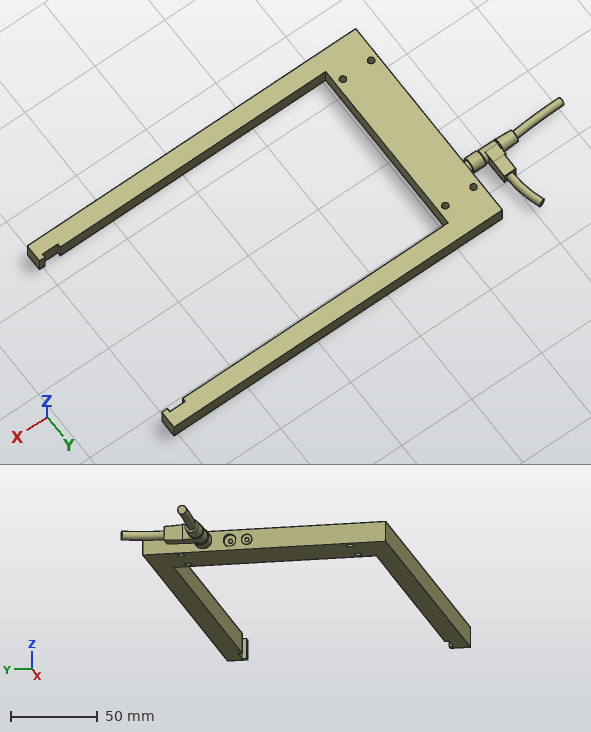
import cadquery as cq
import math


total_length = 305.2
housing_length = 235.0
housing_width = 143.5
thickness = 12.0
arm_width = 12.0
bridge_width = 30.2
housing_left = total_length - housing_length

mount_hole_diameter = 4.3
mount_hole_edge = 5.0
mount_hole_spacing_x = 20.0
mount_hole_spacing_y = 100.0

notch_length = 11.0
notch_depth = 2.5
notch_to_tip = 4.0

adjuster_offset = 15.0
adjuster_diameter = 7.3
adjuster_depth = 2.5
indicator_offset = 25.0
indicator_diameter = 6.0
indicator_depth = 0.5
well_center_diameter = 2.5
well_center_depth = 1.0

axis_y = 107.0
neck_diameter = 7.3
neck_length = 2.7
nut_diameter = 10.0
nut_length = 9.0
nut_chamfer = 0.5
barrel_diameter = 9.2
barrel_length = 11.5
grip_length = 12.0
grip_end_diameter = 8.0
grip_lip_length = 1.0
grip_lip_step = 0.3
nut_right = housing_left - neck_length
nut_left = nut_right - nut_length
barrel_left = nut_left - barrel_length
grip_left = barrel_left - grip_length

elbow_height = barrel_diameter
elbow_base_width = 9.2
elbow_base_reach = 8.0
elbow_top_width = 8.2
elbow_top_reach = 19.0
elbow_end_height = 8.2

cable_diameter = 5.2
straight_cable_drop = 1.8
cable_embed = 1.5
bent_cable_angle = 21.0
bent_cable_rise = 25.0
bent_cable_inset = 4.0


def rod_along_x(x_start, length, start_diameter, end_diameter):
    """Round rod or cone on the connector axis, growing toward +X."""
    profile = [
        (x_start, axis_y),
        (x_start, axis_y + start_diameter / 2),
        (x_start + length, axis_y + end_diameter / 2),
        (x_start + length, axis_y),
    ]
    return cq.Workplane("XY").polyline(profile).close().revolve(360, (0, axis_y), (1, axis_y))


def box_between(x_start, x_end, y_start, y_end, height):
    """Box between two X and two Y positions, centred on Z = 0."""
    return (
        cq.Workplane("XY")
        .box(x_end - x_start, y_end - y_start, height, centered=(False, False, True))
        .translate((x_start, y_start, 0))
    )


def cut_well(body, offset, diameter, depth):
    """Round well in the -X side of the housing with a small hole at its centre."""
    well_y = axis_y - offset
    steps = [(diameter, depth), (well_center_diameter, depth + well_center_depth)]
    for step_diameter, step_depth in steps:
        drill = (
            cq.Workplane("YZ", origin=(housing_left, well_y, 0))
            .circle(step_diameter / 2)
            .extrude(step_depth)
        )
        body = body.cut(drill)
    return body


def make_housing():
    """U-shaped fork with mounting holes, lens notches and two wells."""
    body = box_between(housing_left, total_length, 0, housing_width, thickness)
    opening_left = housing_left + bridge_width
    opening_top = housing_width - arm_width
    body = body.cut(box_between(opening_left, total_length, arm_width, opening_top, thickness))

    notch_right = total_length - notch_to_tip
    notch_left = notch_right - notch_length
    notches = box_between(
        notch_left, notch_right, arm_width - notch_depth, opening_top + notch_depth, thickness
    )
    body = body.cut(notches)

    holes_x = housing_left + mount_hole_edge + mount_hole_spacing_x / 2
    holes = (
        cq.Workplane("XY", origin=(holes_x, housing_width / 2, -thickness / 2))
        .rarray(mount_hole_spacing_x, mount_hole_spacing_y, 2, 2)
        .circle(mount_hole_diameter / 2)
        .extrude(thickness)
    )
    body = body.cut(holes)

    body = cut_well(body, adjuster_offset, adjuster_diameter, adjuster_depth)
    return cut_well(body, indicator_offset, indicator_diameter, indicator_depth)


def make_socket():
    """Nut end of the connector with its neck against the housing."""
    nut = rod_along_x(nut_left, nut_length, nut_diameter, nut_diameter)
    nut = nut.faces("<X").chamfer(nut_chamfer)
    neck = rod_along_x(nut_right, neck_length, neck_diameter, neck_diameter)
    return nut.union(neck)


def make_elbow_plug():
    """Barrel on the connector axis with a block and a bent cable leaving toward +Y."""
    barrel = rod_along_x(barrel_left, barrel_length, barrel_diameter, barrel_diameter)
    base_right = barrel_left + elbow_base_width
    base_end = axis_y + elbow_base_reach
    block_end = axis_y + elbow_top_reach
    base = box_between(barrel_left, base_right, axis_y, base_end, elbow_height)
    top_center_x = base_right - elbow_top_width / 2
    top = (
        cq.Workplane("XZ", origin=(top_center_x, base_end, 0))
        .rect(elbow_top_width, elbow_height)
        .workplane(offset=base_end - block_end)
        .rect(elbow_top_width, elbow_end_height)
        .loft(ruled=True)
    )

    cable_x = base_right - bent_cable_inset
    angle = math.radians(bent_cable_angle)
    bend_radius = bent_cable_rise / math.sin(angle)
    cable_tip = (
        cable_x - bend_radius * (1 - math.cos(angle)),
        block_end + bent_cable_rise,
    )
    cable_middle = (
        cable_x - bend_radius * (1 - math.cos(angle / 2)),
        block_end + bend_radius * math.sin(angle / 2),
    )
    path = cq.Workplane("XY").moveTo(cable_x, block_end).threePointArc(cable_middle, cable_tip)
    cable = (
        cq.Workplane("XZ", origin=(cable_x, block_end, 0)).circle(cable_diameter / 2).sweep(path)
    )
    return barrel.union(base).union(top).union(cable)


def make_straight_plug():
    """Tapered grip on the connector axis with a gently bent cable leaving toward -X."""
    taper_length = grip_length - grip_lip_length
    lip_diameter = barrel_diameter - 2 * grip_lip_step
    taper = rod_along_x(grip_left, taper_length, grip_end_diameter, barrel_diameter)
    lip = rod_along_x(grip_left + taper_length, grip_lip_length, lip_diameter, lip_diameter)

    free_end = cq.Vector(0, axis_y - straight_cable_drop)
    root = cq.Vector(grip_left + cable_embed, axis_y)
    path = cq.Wire.assembleEdges([cq.Edge.makeTangentArc(free_end, cq.Vector(1, 0), root)])
    cable = cq.Workplane("YZ", origin=free_end.toTuple()).circle(cable_diameter / 2).sweep(path)
    return taper.union(lip).union(cable)


housing = make_housing()
socket = make_socket()
elbow_plug = make_elbow_plug()
straight_plug = make_straight_plug()

result = cq.Compound.makeCompound(
    [housing.val(), socket.val(), elbow_plug.val(), straight_plug.val()]
)